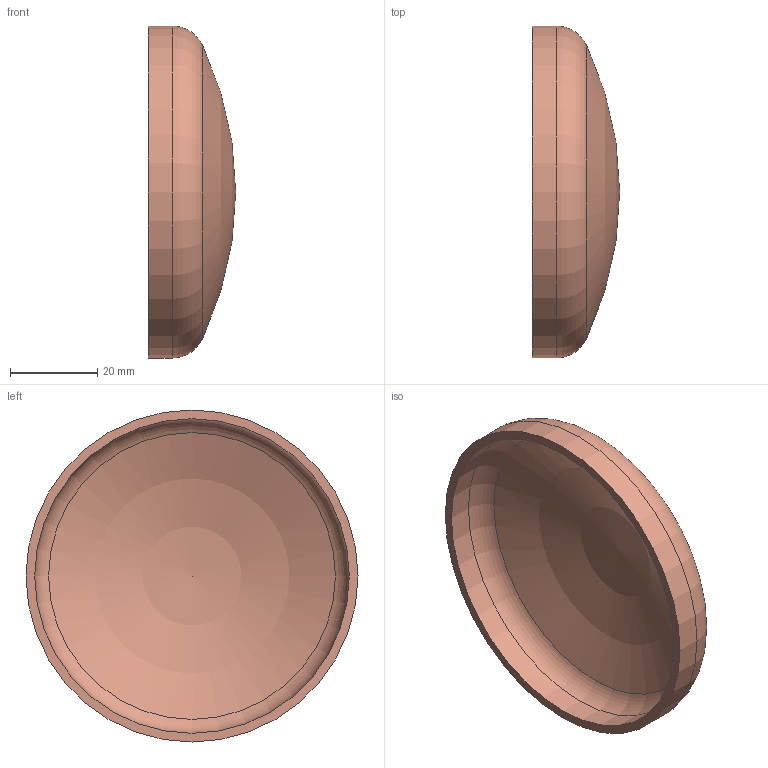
import cadquery as cq
import math

outer_diameter = 76.1
wall = 2.0
flange_length = 5.5
knuckle_radius = outer_diameter / 10
crown_radius = outer_diameter + wall

outer_radius = outer_diameter / 2
knuckle_center_radius = outer_radius - knuckle_radius

tangent_angle = math.acos(knuckle_center_radius / (crown_radius - knuckle_radius))
crown_center_x = flange_length - (crown_radius - knuckle_radius) * math.sin(tangent_angle)


def arc_point(center_x, center_radius, radius, angle):
    """Point (X, distance from axis) on an arc at an angle from the radial direction."""
    return (center_x + radius * math.sin(angle), center_radius + radius * math.cos(angle))


def dished_body(inset):
    """Solid bounded by the outer surface moved inward by the inset."""
    knuckle = knuckle_radius - inset
    crown = crown_radius - inset
    rim_radius = outer_radius - inset
    knuckle_middle = arc_point(flange_length, knuckle_center_radius, knuckle, tangent_angle / 2)
    tangent_point = arc_point(flange_length, knuckle_center_radius, knuckle, tangent_angle)
    crown_middle = arc_point(crown_center_x, 0, crown, (tangent_angle + math.pi / 2) / 2)
    apex = (crown_center_x + crown, 0)
    profile = (
        cq.Workplane("XY")
        .moveTo(0, 0)
        .lineTo(0, rim_radius)
        .lineTo(flange_length, rim_radius)
        .threePointArc(knuckle_middle, tangent_point)
        .threePointArc(crown_middle, apex)
        .close()
    )
    return profile.revolve(360, (0, 0, 0), (1, 0, 0))


result = dished_body(0).cut(dished_body(wall))